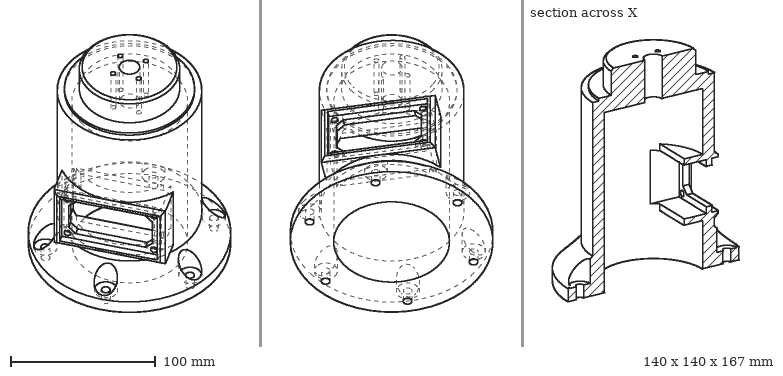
import cadquery as cq

flange_diameter = 140
flange_thickness = 10
body_diameter = 100
cone_top_z = flange_thickness + (flange_diameter - body_diameter) / 2
body_top_z = 145

ring_diameter = 90
ring_height = 2
hub_diameter = 69.5
hub_chamfer = 2
total_height = 167
hub_bore_diameter = 14
hub_screw_diameter = 3.5
hub_screw_count = 4
hub_screw_start_angle = 45
hub_screw_circle_radius = 13

mount_count = 6
mount_start_angle = 90
mount_circle_radius = 60
mount_hole_diameter = 6
mount_counterbore_diameter = 16
mount_seat_z = flange_thickness

box_width = 80
box_height = 50
box_bottom_z = 36
box_center_z = box_bottom_z + box_height / 2
box_front_y = -53
box_back_y = -25
box_chamfer = 3

recess_width = 70
recess_height = 40
recess_depth = 5
window_width = 60
window_height = 30
window_corner_chamfer = 5
window_plate_thickness = 5
cover_screw_diameter = 4.5
cover_screw_spacing_x = 62
cover_screw_spacing_z = 32

cavity_diameter = 80
cavity_roof_thickness = 10
cavity_top_z = body_top_z - cavity_roof_thickness


def cylinder(diameter, bottom_z, top_z):
    """Solid cylinder about the Z axis."""
    return cq.Workplane("XY").workplane(offset=bottom_z).circle(diameter / 2).extrude(top_z - bottom_z)


def box_face_plane(y):
    """Plane facing -Y at depth y, centred on the connector box; extrude(-d) goes into the part."""
    return cq.Workplane(cq.Plane(origin=(0, y, box_center_z), xDir=(1, 0, 0), normal=(0, -1, 0)))


def turned_body():
    """Flange, cone, body, ring and hub as one revolved profile."""
    flange_radius = flange_diameter / 2
    body_radius = body_diameter / 2
    ring_radius = ring_diameter / 2
    hub_radius = hub_diameter / 2
    ring_top_z = body_top_z + ring_height
    profile = [
        (0, 0),
        (flange_radius, 0),
        (flange_radius, flange_thickness),
        (body_radius, cone_top_z),
        (body_radius, body_top_z),
        (ring_radius, body_top_z),
        (ring_radius, ring_top_z),
        (hub_radius, ring_top_z),
        (hub_radius, total_height - hub_chamfer),
        (hub_radius - hub_chamfer, total_height),
        (0, total_height),
    ]
    return cq.Workplane("XZ").polyline(profile).close().revolve(360, (0, 0, 0), (0, 1, 0))


def connector_box():
    """Box from its back plane inside the cavity to the front face, with chamfered front edges."""
    box = box_face_plane(box_front_y).rect(box_width, box_height).extrude(box_front_y - box_back_y)
    return box.faces("<Y").chamfer(box_chamfer)


def mounting_cylinders(diameter, bottom_z):
    """Ring of upright cylinders on the mounting circle, up to the top of the cone."""
    return (
        cq.Workplane("XY")
        .workplane(offset=bottom_z)
        .polarArray(mount_circle_radius, mount_start_angle, 360, mount_count)
        .circle(diameter / 2)
        .extrude(cone_top_z - bottom_z)
    )


def mounting_holes():
    """Through holes with deep counterbores that break out through the cone."""
    through_holes = mounting_cylinders(mount_hole_diameter, 0)
    counterbores = mounting_cylinders(mount_counterbore_diameter, mount_seat_z)
    return through_holes.union(counterbores)


def hub_holes():
    """Central bore and the screw holes around it, from the hub top into the cavity."""
    bore = cylinder(hub_bore_diameter, cavity_top_z, total_height)
    screws = (
        cq.Workplane("XY")
        .workplane(offset=cavity_top_z)
        .polarArray(hub_screw_circle_radius, hub_screw_start_angle, 360, hub_screw_count)
        .circle(hub_screw_diameter / 2)
        .extrude(total_height - cavity_top_z)
    )
    return bore.union(screws)


def box_openings():
    """Cover recess, window, chamber behind the window plate, and screw holes through the plate."""
    recess_floor_y = box_front_y + recess_depth
    plate_back_y = recess_floor_y + window_plate_thickness
    recess = box_face_plane(box_front_y).rect(recess_width, recess_height).extrude(-recess_depth)
    window = (
        box_face_plane(recess_floor_y)
        .rect(window_width, window_height)
        .extrude(-window_plate_thickness)
        .edges("|Y")
        .chamfer(window_corner_chamfer)
    )
    chamber = box_face_plane(plate_back_y).rect(recess_width, recess_height).extrude(plate_back_y)
    screws = (
        box_face_plane(recess_floor_y)
        .rect(cover_screw_spacing_x, cover_screw_spacing_z, forConstruction=True)
        .vertices()
        .circle(cover_screw_diameter / 2)
        .extrude(-window_plate_thickness)
    )
    return recess.union(window).union(chamber).union(screws)


result = (
    turned_body()
    .cut(cylinder(cavity_diameter, 0, cavity_top_z))
    .union(connector_box())
    .cut(mounting_holes())
    .cut(hub_holes())
    .cut(box_openings())
)